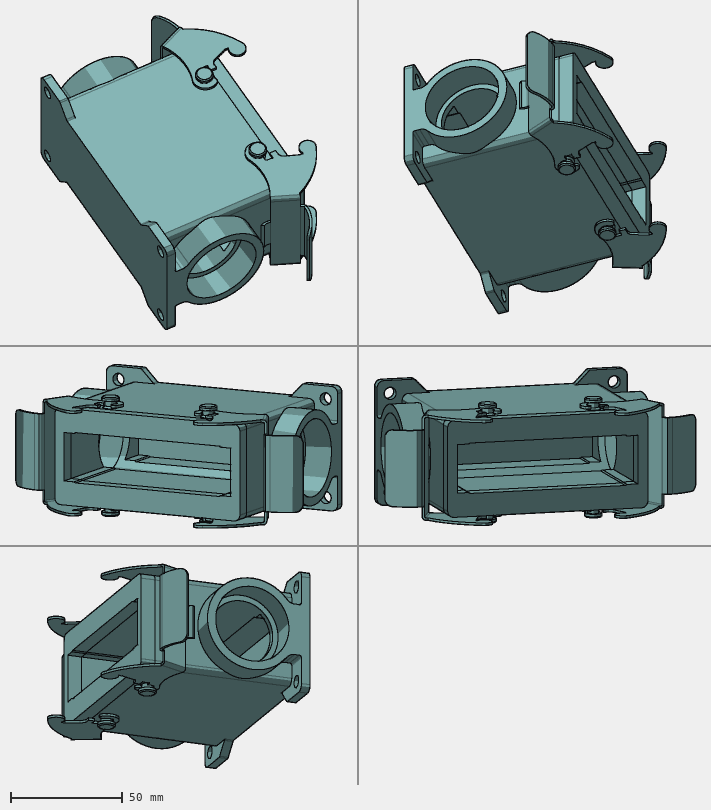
import cadquery as cq
import math


body_length = 93.8
body_width = 44.2
body_edge_radius = 2.9
housing_height = 70.5

base_length = 117.3
base_width = 57.0
base_thickness = 4.2
ear_length = 17.7
base_corner_radius = 3.0
ear_corner_radius = 1.2
mount_hole_diameter = 5.5
mount_hole_spacing_x = 105.0
mount_hole_spacing_z = 45.1

entry_height = 28.0
entry_diameter = 43.5
bore_diameter = 30.2
socket_diameter = 35.5
socket_depth = 13.1
foot_width = 24.1
foot_blend_radius = 4.7
foot_base_radius = 1.0

cavity_length = 84.5
cavity_end_width = 22.2
cavity_middle_width = 23.0
cavity_step_start = 37.2
cavity_step_end = 36.3

rim_height = 6.7

peg_x = 24.8
peg_y = 65.4
peg_diameter = 5.1
peg_foot_diameter = 7.0
peg_foot_height = 0.9
peg_root_depth = 1.5
peg_head_diameter = 8.0
peg_head_thickness = 1.8
peg_head_chamfer = 0.6
peg_span = 54.4

lever_width = 48.2
sheet = 1.2
bend_radius = 1.8
slot_radius = 3.0
slot_floor = 1.0
tip_radius = 1.6
tip_angle = math.radians(40)
hook_radius = 4.0
hook_x = -7.9
hook_y = 21.3
web_top = (-30.3, 5.1)
web_bottom = (-24.8, -7.3)
grip_width = 35.0
grip_corner_radius = 3.6
grip_end_outer = (-48.2, 0)
grip_end_inner = (-47.4, -1.0)
lip_width = 15.3


def polar(center, radius, angle):
    """Point at a distance and an angle (radians) from a centre."""
    return (center[0] + radius * math.cos(angle), center[1] + radius * math.sin(angle))


def extrude_across(profile, width):
    """Extrude an XY profile along Z, centred on Z = 0."""
    return profile.extrude(width / 2, both=True)


def rounded_bar(length, width, y_start, height, radius):
    """Bar along Y with rounded edges along its height."""
    bar = cq.Workplane("XY").box(length, height, width).edges("|Y").fillet(radius)
    return bar.translate((0, y_start + height / 2, 0))


def cavity(y_start, height):
    """Pocket along Y whose long walls step outward between the two ends."""
    end = cavity_end_width / 2
    middle = cavity_middle_width / 2
    half_outline = [
        (-cavity_length / 2, end),
        (-cavity_step_start, end),
        (-cavity_step_end, middle),
        (cavity_step_end, middle),
        (cavity_step_start, end),
        (cavity_length / 2, end),
    ]
    outline = half_outline + [(x, -z) for x, z in reversed(half_outline)]
    pocket = cq.Workplane("XZ", origin=(0, y_start, 0)).polyline(outline).close()
    return pocket.extrude(-height)


def mounting_base():
    """Plate as wide as the body, with a wider pair of drilled ears at each end."""
    ear_rise = (base_width - body_width) / 2
    ear_x = base_length / 2 - ear_length
    waist_x = ear_x - ear_rise
    quarter = [
        (waist_x, body_width / 2),
        (ear_x, base_width / 2),
        (base_length / 2, base_width / 2),
    ]
    outline = quarter + [(x, -z) for x, z in reversed(quarter)]
    outline += [(-x, -z) for x, z in quarter] + [(-x, z) for x, z in reversed(quarter)]
    plate = cq.Workplane("XZ").polyline(outline).close().extrude(-base_thickness)
    plate = plate.edges("|Y").edges("<X or >X").fillet(base_corner_radius)
    for x in (-ear_x, ear_x, -waist_x, waist_x):
        for z_side in (-1, 1):
            z = z_side * (base_width if abs(x) == ear_x else body_width) / 2
            corner = cq.selectors.NearestToPointSelector((x, base_thickness / 2, z))
            plate = plate.edges("|Y").edges(corner).fillet(ear_corner_radius)
    holes = (
        cq.Workplane("XZ")
        .rarray(mount_hole_spacing_x, mount_hole_spacing_z, 2, 2)
        .circle(mount_hole_diameter / 2)
        .extrude(-base_thickness)
    )
    return plate.cut(holes)


def entry_tubes():
    """Round tube along X joined to the base by a foot that blends into both."""
    tube = cq.Workplane("YZ").center(entry_height, 0).circle(entry_diameter / 2)
    tube = tube.extrude(base_length / 2, both=True)
    half = foot_width / 2
    tube_radius = entry_diameter / 2
    blend_z = half + foot_blend_radius
    blend_y = entry_height - math.sqrt((tube_radius + foot_blend_radius) ** 2 - blend_z**2)
    tangent_angle = math.atan2(-blend_z, entry_height - blend_y)
    blend_start = polar((blend_y, blend_z), foot_blend_radius, tangent_angle)
    blend_mid = polar((blend_y, blend_z), foot_blend_radius, (tangent_angle - math.pi / 2) / 2)
    blend_end = (blend_y, half)
    root = base_thickness + foot_base_radius
    root_mid = polar((root, half + foot_base_radius), foot_base_radius, math.radians(-135))
    foot = (
        cq.Workplane("YZ")
        .moveTo(entry_height, 0)
        .lineTo(*blend_start)
        .threePointArc(blend_mid, blend_end)
        .lineTo(root, half)
        .threePointArc(root_mid, (base_thickness, half + foot_base_radius))
        .lineTo(base_thickness, 0)
        .close()
        .extrude(base_length / 2, both=True)
    )
    return tube.union(foot).union(foot.mirror("XY"))


def entry_bores():
    """Through bore along X with a wider socket at each end."""
    bores = cq.Workplane("YZ").center(entry_height, 0).circle(bore_diameter / 2)
    bores = bores.extrude(base_length / 2, both=True)
    for side in (-1, 1):
        socket = cq.Workplane("YZ", origin=(side * base_length / 2, entry_height, 0))
        bores = bores.union(socket.circle(socket_diameter / 2).extrude(-side * socket_depth))
    return bores


def peg():
    """Headed peg on the +Z side, with a conical foot."""
    face = body_width / 2
    foot_top = face + peg_foot_height
    top = peg_span / 2
    head_bottom = top - peg_head_thickness
    return (
        cq.Workplane("XZ")
        .moveTo(0, face - peg_root_depth)
        .lineTo(peg_foot_diameter / 2, face - peg_root_depth)
        .lineTo(peg_foot_diameter / 2, face)
        .lineTo(peg_diameter / 2, foot_top)
        .lineTo(peg_diameter / 2, head_bottom)
        .lineTo(peg_head_diameter / 2, head_bottom)
        .lineTo(peg_head_diameter / 2, top - peg_head_chamfer)
        .lineTo(peg_head_diameter / 2 - peg_head_chamfer, top)
        .lineTo(0, top)
        .close()
        .revolve(360, (0, 0), (0, 1))
        .translate((0, peg_y, 0))
    )


def make_housing():
    housing = rounded_bar(body_length, body_width, 0, housing_height, body_edge_radius)
    housing = housing.union(mounting_base()).union(entry_tubes())
    housing = housing.cut(cavity(base_thickness, housing_height))
    housing = housing.cut(entry_bores())
    for side in (-1, 1):
        upper_peg = peg().translate((side * peg_x, 0, 0))
        housing = housing.union(upper_peg).union(upper_peg.mirror("XY"))
    return housing


def make_rim():
    rim = rounded_bar(body_length, body_width, housing_height, rim_height, body_edge_radius)
    return rim.cut(cavity(housing_height, rim_height))


def lever_side_outline():
    """Side plate: hooked locking nose above, open slot for the peg below, bend line at -X."""
    hook = (hook_x, hook_y)
    tip = polar((0, 0), slot_radius + tip_radius, tip_angle)
    slot_edge = (-math.sqrt(slot_radius**2 - slot_floor**2), slot_floor)
    return (
        cq.Workplane("XY")
        .moveTo(*web_bottom)
        .threePointArc((-12.1, -3.6), (-2.6, -4.8))
        .threePointArc((6.1, 0), polar(tip, tip_radius, tip_angle))
        .threePointArc(polar(tip, tip_radius, tip_angle + math.pi / 2), polar((0, 0), slot_radius, tip_angle))
        .threePointArc((0, -slot_radius), slot_edge)
        .lineTo(-5.0, slot_floor)
        .threePointArc((-5.5, 1.3), (-5.7, 1.8))
        .lineTo(-5.7, 4.7)
        .lineTo(-2.6, 4.7)
        .lineTo(-2.6, 7.7)
        .lineTo(-5.0, 7.7)
        .threePointArc((-6.5, 8.5), (-7.5, 9.9))
        .lineTo(-10.0, 16.2)
        .lineTo(-10.0, 17.8)
        .lineTo(*polar(hook, hook_radius, math.radians(-114)))
        .threePointArc((hook_x + hook_radius, hook_y), polar(hook, hook_radius, math.radians(120)))
        .threePointArc((-19.7, 18.4), (-29.5, 5.3))
        .lineTo(*web_top)
        .close()
    )


def web_directions():
    """Unit vectors along the web from bottom to top, and out of its -X face."""
    length = math.dist(web_top, web_bottom)
    along = ((web_top[0] - web_bottom[0]) / length, (web_top[1] - web_bottom[1]) / length)
    return along, (-along[1], along[0])


def web_point(end, depth):
    """Point at a depth outward from the bend line at an end of the web."""
    _, outward = web_directions()
    return (end[0] + depth * outward[0], end[1] + depth * outward[1])


def lever_web():
    """Flat back with a rounded bend along each long side, leading into the side plates."""
    along, outward = web_directions()
    start = cq.Plane(origin=(*web_bottom, 0), xDir=(*outward, 0), normal=(*along, 0))
    half = lever_width / 2
    flat = half - bend_radius
    inner_radius = bend_radius - sheet
    outer_mid = bend_radius * math.sqrt(0.5)
    inner_mid = inner_radius * math.sqrt(0.5)
    return (
        cq.Workplane(start)
        .moveTo(0, half)
        .threePointArc((outer_mid, flat + outer_mid), (bend_radius, flat))
        .lineTo(bend_radius, -flat)
        .threePointArc((outer_mid, -flat - outer_mid), (0, -half))
        .lineTo(0, -half + sheet)
        .threePointArc((inner_mid, -flat - inner_mid), (inner_radius, -flat))
        .lineTo(inner_radius, flat)
        .threePointArc((inner_mid, flat + inner_mid), (0, half - sheet))
        .close()
        .extrude(math.dist(web_top, web_bottom))
    )


def lever_grip():
    """Curved finger grip continuing from the top of the web, with rounded free corners."""
    grip = extrude_across(
        cq.Workplane("XY")
        .moveTo(*web_point(web_top, bend_radius))
        .lineTo(-32.7, 5.8)
        .threePointArc((-40.3, 4.2), grip_end_inner)
        .lineTo(*grip_end_outer)
        .threePointArc((-41.3, 5.1), (-35.0, 7.0))
        .lineTo(-32.7, 7.0)
        .threePointArc((-31.7, 6.4), web_point(web_top, bend_radius - sheet))
        .close(),
        grip_width,
    )
    end_x = (grip_end_inner[0] + grip_end_outer[0]) / 2
    end_y = (grip_end_inner[1] + grip_end_outer[1]) / 2
    for side in (-1, 1):
        corner = cq.selectors.NearestToPointSelector((end_x, end_y, side * grip_width / 2))
        grip = grip.edges(corner).fillet(grip_corner_radius)
    return grip


def lever_lip():
    """Short curved lip at the bottom of the web."""
    return extrude_across(
        cq.Workplane("XY")
        .moveTo(*web_point(web_bottom, bend_radius))
        .threePointArc((-26.1, -9.9), (-26.7, -11.4))
        .lineTo(-25.8, -12.5)
        .threePointArc((-25.1, -10.0), web_point(web_bottom, bend_radius - sheet))
        .close(),
        lip_width,
    )


def make_lever():
    """Lever on the -X side, hung on its two pegs."""
    side_plate = lever_side_outline().extrude(sheet)
    lever = lever_web().union(lever_grip()).union(lever_lip())
    for plate_bottom in (-lever_width / 2, lever_width / 2 - sheet):
        lever = lever.union(side_plate.translate((0, 0, plate_bottom)))
    return lever.translate((-peg_x, peg_y, 0))


housing = make_housing()
rim = make_rim()
left_lever = make_lever()
levers = [left_lever, left_lever.mirror("YZ")]

result = cq.Compound.makeCompound([housing.val(), rim.val(), *[lever.val() for lever in levers]])